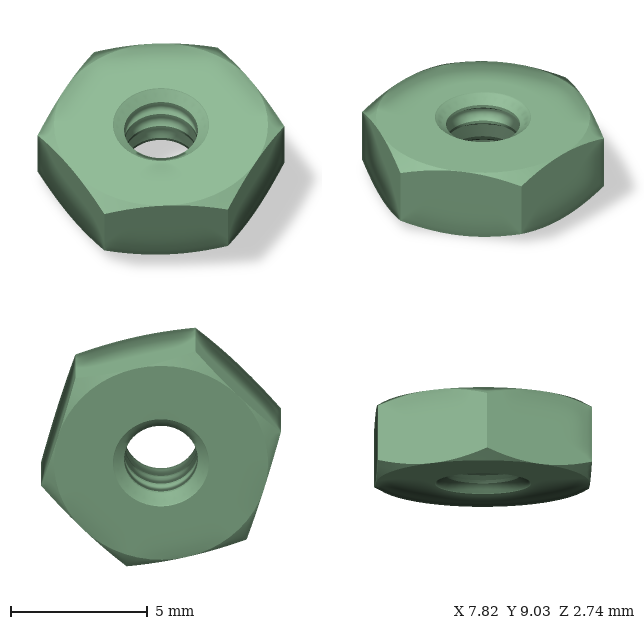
import cadquery as cq
import math

side_count = 6
across_flats = 7.82
thickness = 2.74
corner_chamfer_angle = 30.0

major_diameter = 3.5
minor_diameter = 2.7
crest_width = 0.115
groove_count = 3
countersink_depth = 0.31

mouth_diameter = 3.51
edge_break = 0.02

across_corners = across_flats / math.cos(math.pi / side_count)
face_radius = across_flats / 2
corner_radius = across_corners / 2
major_radius = major_diameter / 2
minor_radius = minor_diameter / 2
mouth_radius = mouth_diameter / 2
countersink_radius = mouth_radius - edge_break
threaded_length = thickness - 2 * countersink_depth
thread_pitch = (threaded_length - crest_width) / groove_count


def hexagon_blank():
    """Plain hexagonal prism with corners on the Y axis."""
    blank = cq.Workplane("XY").polygon(side_count, across_corners).extrude(thickness)
    return blank.rotate((0, 0, 0), (0, 0, 1), 90)


def chamfer_envelope():
    """Turned body whose end cones touch the flats and trim the six corners."""
    rim_radius = corner_radius + (corner_radius - face_radius) / 2
    rim_drop = (rim_radius - face_radius) * math.tan(math.radians(corner_chamfer_angle))
    profile = [
        (0, 0),
        (face_radius, 0),
        (rim_radius, rim_drop),
        (rim_radius, thickness - rim_drop),
        (face_radius, thickness),
        (0, thickness),
    ]
    return cq.Workplane("XZ").polyline(profile).close().revolve(360, (0, 0, 0), (0, 1, 0))


def threaded_bore():
    """Material removed from the centre: edge breaks, countersinks, crests and V grooves."""
    profile = [(0, 0), (mouth_radius, 0), (countersink_radius, edge_break)]
    for crest in range(groove_count + 1):
        crest_bottom = countersink_depth + crest * thread_pitch
        crest_top = crest_bottom + crest_width
        profile.append((minor_radius, crest_bottom))
        profile.append((minor_radius, crest_top))
        if crest < groove_count:
            groove_root = (crest_top + crest_bottom + thread_pitch) / 2
            profile.append((major_radius, groove_root))
    profile += [
        (countersink_radius, thickness - edge_break),
        (mouth_radius, thickness),
        (0, thickness),
    ]
    return cq.Workplane("XZ").polyline(profile).close().revolve(360, (0, 0, 0), (0, 1, 0))


result = hexagon_blank().intersect(chamfer_envelope()).cut(threaded_bore())